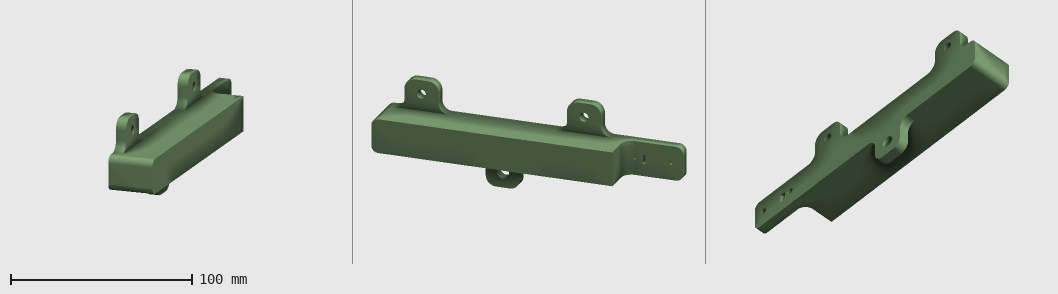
import cadquery as cq
import math

length = 176.0
depth = 26.0
height = 20.0
corner_radius = 4.0
plate_thickness = 6.0
thin_length = 34.0
step_radius = 6.0

tab_width = 20.0
tab_radius = 6.0
upper_tab_height = 18.1
lower_tab_height = 18.7
upper_tab_y = (22.0, 117.7)
lower_tab_y = sum(upper_tab_y) / len(upper_tab_y)
upper_hole_offset = 9.9
lower_hole_offset = 9.7
upper_hole_diameter = 5.3
lower_hole_diameter = 7.2

screw_y = (147.8, 169.1)
screw_diameter = 2.0
counterbore_diameter = 3.9
counterbore_depth = 2.0
slot_y = 151.9
slot_outer_width = 3.7
slot_inner_width = 2.1
slot_height = 5.3
slot_wall_diameter = 9.0
slot_wall_radius = slot_wall_diameter / 2

mid_z = height / 2


def make_bar():
    """Rounded bar, cut back behind the plate with a filleted inner corner."""
    bar = cq.Workplane("XY").box(depth, length, height, centered=False)
    bar = bar.edges("|X").fillet(corner_radius)
    relief = (
        cq.Workplane("XY")
        .box(depth - plate_thickness, thin_length, height, centered=False)
        .translate((plate_thickness, length - thin_length, 0))
        .edges("|Z and <X and <Y")
        .fillet(step_radius)
    )
    return bar.cut(relief)


def make_tab(y, base_z, tab_height, direction):
    """Tab with flared root and rounded tip, pointing up (1) or down (-1)."""
    half = tab_width / 2
    root = half + tab_radius
    diagonal = tab_radius * (1 - math.sqrt(0.5))
    tip = tab_height - tab_radius

    def point(across, rise):
        return (y + across, base_z + direction * rise)

    sink = -height / 4
    return (
        cq.Workplane("YZ")
        .moveTo(*point(-half, sink))
        .lineTo(*point(-half, 0))
        .lineTo(*point(-root, 0))
        .threePointArc(point(-half - diagonal, diagonal), point(-half, tab_radius))
        .lineTo(*point(-half, tip))
        .threePointArc(point(-half + diagonal, tab_height - diagonal), point(-half + tab_radius, tab_height))
        .lineTo(*point(half - tab_radius, tab_height))
        .threePointArc(point(half - diagonal, tab_height - diagonal), point(half, tip))
        .lineTo(*point(half, tab_radius))
        .threePointArc(point(half + diagonal, diagonal), point(root, 0))
        .lineTo(*point(half, 0))
        .lineTo(*point(half, sink))
        .close()
        .extrude(plate_thickness)
    )


def make_pin(y, z, diameter, pin_length):
    """Cylinder along +X from the flat face, used to cut a hole."""
    return cq.Workplane("YZ").center(y, z).circle(diameter / 2).extrude(pin_length)


def make_slot():
    """Rectangular slot whose +Y end wall bulges toward the opening as a convex arc."""
    inner_y = slot_y + slot_inner_width
    outer_y = slot_y + slot_outer_width
    arc_y = inner_y + slot_wall_radius
    arc_x = math.sqrt(slot_wall_radius**2 - (arc_y - outer_y) ** 2)
    half_angle = math.asin(arc_x / slot_wall_radius) / 2
    arc_middle = (
        arc_x - slot_wall_radius * math.sin(half_angle),
        arc_y - slot_wall_radius * math.cos(half_angle),
    )
    return (
        cq.Workplane("XY")
        .moveTo(0, slot_y)
        .lineTo(plate_thickness, slot_y)
        .lineTo(plate_thickness, inner_y)
        .lineTo(arc_x, inner_y)
        .threePointArc(arc_middle, (0, outer_y))
        .close()
        .extrude(slot_height)
        .translate((0, 0, mid_z - slot_height / 2))
    )


result = make_bar()

for tab_y in upper_tab_y:
    result = result.union(make_tab(tab_y, height, upper_tab_height, 1))
    result = result.cut(make_pin(tab_y, height + upper_hole_offset, upper_hole_diameter, plate_thickness))

result = result.union(make_tab(lower_tab_y, 0, lower_tab_height, -1))
result = result.cut(make_pin(lower_tab_y, -lower_hole_offset, lower_hole_diameter, plate_thickness))

for hole_y in screw_y:
    result = result.cut(make_pin(hole_y, mid_z, screw_diameter, depth))
    result = result.cut(make_pin(hole_y, mid_z, counterbore_diameter, counterbore_depth))

result = result.cut(make_slot())